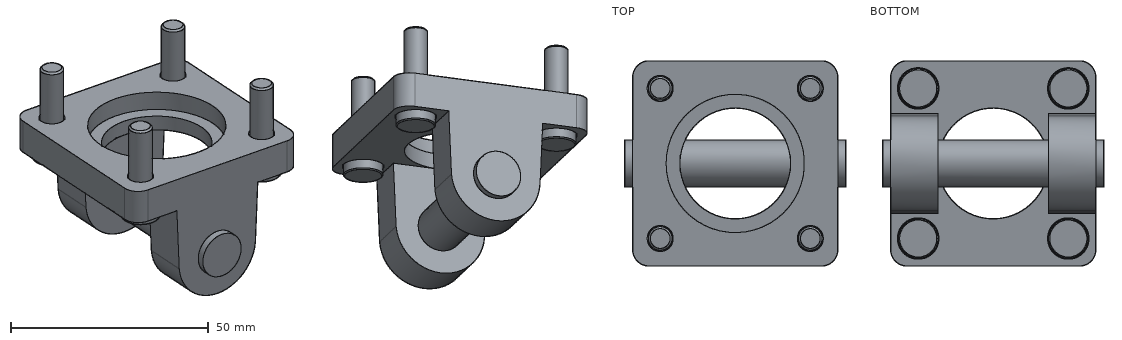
import cadquery as cq

plate_side = 52.0
plate_thickness = 9.0
plate_corner_radius = 4.2
spigot_recess_diameter = 35.0
spigot_recess_depth = 5.0
center_hole_diameter = 28.0

lug_gap = 28.0
lug_end_radius = 12.0
lug_root_width = 25.4
lug_shoulder_drop = 1.0
pin_axis_z = -25.0

pin_diameter = 12.0
pin_length = 56.0

screw_offset = 19.0
screw_diameter = 6.0
screw_length = 20.0
screw_tip_chamfer = 0.5
screw_head_diameter = 10.0
screw_head_height = 6.0
screw_head_chamfer = 0.3
screw_head_protrusion = 2.5
screw_hole_diameter = 6.6
counterbore_diameter = 10.5

plate_bottom_z = -plate_thickness
lug_thickness = (plate_side - lug_gap) / 2
counterbore_depth = screw_head_height - screw_head_protrusion
screw_head_bottom_z = plate_bottom_z - screw_head_protrusion
screw_positions = [(x, y) for x in (-screw_offset, screw_offset) for y in (-screw_offset, screw_offset)]


def make_plate():
    """Rounded square plate with its stepped center bore and counterbored screw holes."""
    plate = (
        cq.Workplane("XY")
        .workplane(offset=plate_bottom_z)
        .rect(plate_side, plate_side)
        .extrude(plate_thickness)
        .edges("|Z")
        .fillet(plate_corner_radius)
    )
    plate = plate.faces(">Z").workplane().cboreHole(
        center_hole_diameter, spigot_recess_diameter, spigot_recess_depth
    )
    return (
        plate.faces("<Z")
        .workplane()
        .pushPoints(screw_positions)
        .cboreHole(screw_hole_diameter, counterbore_diameter, counterbore_depth)
    )


def make_lug(start_x):
    """Tapered lug with a round lower end, extruded along +X from start_x."""
    root_half_width = lug_root_width / 2
    shoulder_half_width = (lug_end_radius**2 - lug_shoulder_drop**2) ** 0.5
    shoulder_z = pin_axis_z - lug_shoulder_drop
    return (
        cq.Workplane("YZ", origin=(start_x, 0, 0))
        .moveTo(-root_half_width, plate_bottom_z)
        .lineTo(-shoulder_half_width, shoulder_z)
        .threePointArc((0, pin_axis_z - lug_end_radius), (shoulder_half_width, shoulder_z))
        .lineTo(root_half_width, plate_bottom_z)
        .close()
        .extrude(lug_thickness)
    )


def make_pin():
    """Plain round pin centered on X = 0."""
    return (
        cq.Workplane("YZ", origin=(-pin_length / 2, 0, pin_axis_z))
        .circle(pin_diameter / 2)
        .extrude(pin_length)
    )


def make_clevis():
    """Plate, both lugs and the fixed pivot pin in one body."""
    clevis = make_plate()
    for start_x in (-plate_side / 2, lug_gap / 2):
        clevis = clevis.union(make_lug(start_x))
    return clevis.union(make_pin())


def make_screw(x, y):
    """Cap screw pointing up, its head partly sunk in the counterbore."""
    head = (
        cq.Workplane("XY", origin=(x, y, screw_head_bottom_z))
        .circle(screw_head_diameter / 2)
        .extrude(screw_head_height)
        .faces("<Z")
        .chamfer(screw_head_chamfer)
    )
    shank = (
        cq.Workplane("XY", origin=(x, y, screw_head_bottom_z + screw_head_height))
        .circle(screw_diameter / 2)
        .extrude(screw_length)
        .faces(">Z")
        .chamfer(screw_tip_chamfer)
    )
    return head.union(shank)


clevis = make_clevis()
screws = [make_screw(x, y) for x, y in screw_positions]

result = cq.Compound.makeCompound([clevis.val(), *[screw.val() for screw in screws]])